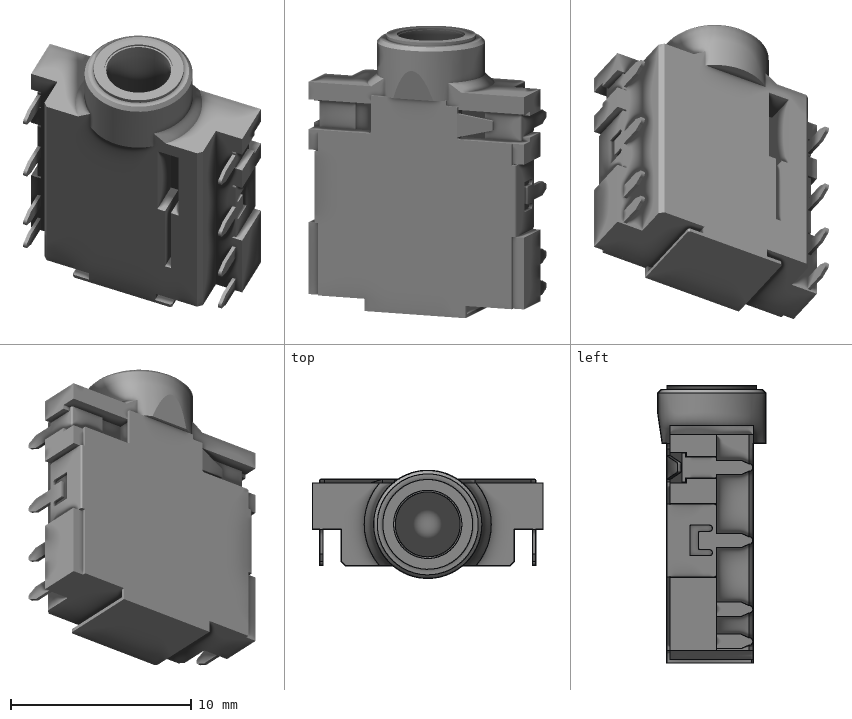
import cadquery as cq


TOTAL_HEIGHT = 15.4
TOTAL_WIDTH = 12.8
SHEET = 0.2

BLOCK_HALF_X = 4.8
BLOCK_HALF_Y = 2.31
BLOCK_BOTTOM = 0.7
BLOCK_TOP = 12.69
BLOCK_CHAMFER = 0.25
EAR_HALF_X = TOTAL_WIDTH / 2
EAR_FRONT_Y = -0.28
TONGUE_HALF_X = 2.0

SLEEVE_RADIUS = 3.0
SLEEVE_BOTTOM = 12.2
SLEEVE_CHAMFER = 0.2
RIM_RADIUS = 2.5
RIM_HEIGHT = 0.2
COLLAR_RADIUS = 3.53
COLLAR_HEIGHT = 0.5
RELIEF_TOP = 13.86
RELIEF_BOTTOM_Y = 2.75
BORE_RADIUS = 1.8
BORE_DEPTH = 13.86
MOUTH_RADIUS = 1.9
MOUTH_DEPTH = 0.11

SLOT_DEPTH = 1.85
SLOT_CENTER_X = 2.79
SLOT_WIDE = 1.26
SLOT_NARROW = 0.35
SLOT_TOP = 11.89
SLOT_STEP = 7.38
SLOT_BOTTOM = 3.08

CONTACT_OUTER_X = 6.0
CONTACT_INNER_X = CONTACT_OUTER_X - SHEET
LEG_HALF_WIDTH = 0.4
LEG_TAPER_Y = -1.63
LEG_TIP_HALF_WIDTH = 0.22
LEG_TIP_START_Y = -2.05
LEG_TIP_Y = -2.28
LEG_EMBED = 0.92
LEFT_LEGS_Z = (1.2, 2.99)
RIGHT_LEGS_Z = (1.2, 3.68)

LATCH_Z = 10.85
LATCH_HALF_WIDTH = 0.59
LATCH_HEAD_HALF_WIDTH = 0.8
LATCH_HEAD_Y = 1.46
LATCH_ARM_LENGTH = 2.15
LATCH_BEND_RADIUS = 0.1
LATCH_CORNER = 0.1
NOTCH_HALF_WIDTH = 0.62
POCKET_HALF_WIDTH = 0.85
POCKET_FLOOR_Y = 1.4
POCKET_INNER_X = 2.39

SHIELD_BACK_Y = BLOCK_HALF_Y + SHEET
SHIELD_FOOT_HALF_X = 3.0
SHIELD_FOOT_CHAMFER = 0.1
SHIELD_HALF_X = 5.75
SHIELD_SHOULDER_Z = 10.05
SHIELD_CORNER = 0.11
SHIELD_BEND_RADIUS = 0.11
NECK_LEFT_X = -2.51
NECK_RIGHT_X = 2.62
NECK_STEP_X = -1.83
NECK_STEP_Z = 11.89
WING_Z = 6.8
WING_HALF_HEIGHT = 2.02
WING_SLOT_HALF_HEIGHT = 2.06
WING_CORNER = 0.14

CUT_HALF_HEIGHT = 0.85
CUT_BACK_Y = 1.22
CUT_FRONT_Y = -0.03
CUT_TONGUE_Y = 0.72
CUT_TONGUE_HALF_HEIGHT = 0.51
CUT_CORNER = 0.06
CUT_END_CORNER = 0.15

TAB_ROOT_HALF_WIDTH = 0.66
TAB_TIP_HALF_WIDTH = 0.26
TAB_LENGTH_X = 1.88
TAB_DROP = 0.6
TAB_CORNER = 0.1


def box(x0, x1, y0, y1, z0, z1):
    """Axis-aligned box between two opposite corners."""
    return (
        cq.Workplane("XY")
        .box(x1 - x0, y1 - y0, z1 - z0, centered=False)
        .translate((x0, y0, z0))
    )


def mirrored(shape):
    """The same shape on the opposite X side."""
    return shape.mirror("YZ")


def make_block():
    block = box(-BLOCK_HALF_X, BLOCK_HALF_X, -BLOCK_HALF_Y, BLOCK_HALF_Y, BLOCK_BOTTOM, BLOCK_TOP)
    block = block.edges("|Z and <Y").chamfer(BLOCK_CHAMFER)
    ears = box(-EAR_HALF_X, EAR_HALF_X, EAR_FRONT_Y, BLOCK_HALF_Y, BLOCK_BOTTOM, BLOCK_TOP)
    tongue = box(-TONGUE_HALF_X, TONGUE_HALF_X, -BLOCK_HALF_Y, BLOCK_HALF_Y, SHEET, BLOCK_BOTTOM)
    return block.union(ears).union(tongue)


def make_sleeve():
    shoulder_z = TOTAL_HEIGHT - RIM_HEIGHT
    sleeve = (
        cq.Workplane("XY", origin=(0, 0, SLEEVE_BOTTOM))
        .circle(SLEEVE_RADIUS)
        .extrude(shoulder_z - SLEEVE_BOTTOM)
        .faces(">Z")
        .chamfer(SLEEVE_CHAMFER)
    )
    rim = cq.Workplane("XY", origin=(0, 0, shoulder_z)).circle(RIM_RADIUS).extrude(RIM_HEIGHT)
    relief = (
        cq.Workplane("YZ")
        .moveTo(SLEEVE_RADIUS, RELIEF_TOP)
        .lineTo(RELIEF_BOTTOM_Y, SLEEVE_BOTTOM)
        .lineTo(SLEEVE_RADIUS, SLEEVE_BOTTOM)
        .close()
        .extrude(SLEEVE_RADIUS, both=True)
    )
    return sleeve.union(rim).cut(relief)


def make_collar():
    """Conical collar at the sleeve foot, trimmed flush with the block."""
    cone = (
        cq.Workplane("XZ")
        .moveTo(0, BLOCK_TOP)
        .lineTo(COLLAR_RADIUS, BLOCK_TOP)
        .lineTo(SLEEVE_RADIUS, BLOCK_TOP + COLLAR_HEIGHT)
        .lineTo(0, BLOCK_TOP + COLLAR_HEIGHT)
        .close()
        .revolve(360, (0, 0, 0), (0, 1, 0))
    )
    trim = box(
        -COLLAR_RADIUS, COLLAR_RADIUS, -BLOCK_HALF_Y, BLOCK_HALF_Y,
        BLOCK_TOP, BLOCK_TOP + COLLAR_HEIGHT,
    )
    return cone.intersect(trim)


def make_bore():
    bore = (
        cq.Workplane("XY", origin=(0, 0, TOTAL_HEIGHT - BORE_DEPTH))
        .circle(BORE_RADIUS)
        .extrude(BORE_DEPTH)
    )
    mouth = (
        cq.Workplane("XY", origin=(0, 0, TOTAL_HEIGHT - MOUTH_DEPTH))
        .circle(MOUTH_RADIUS)
        .extrude(MOUTH_DEPTH)
    )
    return bore.union(mouth)


def make_keyhole_slot():
    def segment(width, z0, z1):
        return box(
            SLOT_CENTER_X - width / 2, SLOT_CENTER_X + width / 2,
            -BLOCK_HALF_Y, -BLOCK_HALF_Y + SLOT_DEPTH, z0, z1,
        )

    return segment(SLOT_WIDE, SLOT_STEP, SLOT_TOP).union(segment(SLOT_NARROW, SLOT_BOTTOM, SLOT_STEP))


def make_latch_pocket():
    """Notch in the left ear for a latch contact, widening towards the back."""
    notch = box(
        -EAR_HALF_X, -CONTACT_INNER_X, EAR_FRONT_Y, BLOCK_HALF_Y,
        LATCH_Z - NOTCH_HALF_WIDTH, LATCH_Z + NOTCH_HALF_WIDTH,
    )
    pocket = box(
        -EAR_HALF_X, -POCKET_INNER_X, POCKET_FLOOR_Y, BLOCK_HALF_Y,
        LATCH_Z - POCKET_HALF_WIDTH, LATCH_Z + POCKET_HALF_WIDTH,
    )
    return notch.union(pocket)


def make_wing_slot():
    """Recess in the left ear for a wing of the shield."""
    return box(
        -EAR_HALF_X, -CONTACT_INNER_X, EAR_FRONT_Y, BLOCK_HALF_Y,
        WING_Z - WING_SLOT_HALF_HEIGHT, WING_Z + WING_SLOT_HALF_HEIGHT,
    )


def make_housing(plain_contacts):
    housing = make_block().union(make_sleeve()).union(make_collar())
    housing = housing.cut(make_bore()).cut(make_keyhole_slot())
    for recess in (make_latch_pocket(), make_wing_slot()):
        housing = housing.cut(recess).cut(mirrored(recess))
    for contact in plain_contacts:
        housing = housing.cut(contact)
    return housing


def make_leg(center_z, root_y):
    """Flat solder leg on the left side, from root_y to its rounded tip."""
    return (
        cq.Workplane("YZ", origin=(-CONTACT_OUTER_X, 0, center_z))
        .moveTo(root_y, LEG_HALF_WIDTH)
        .lineTo(LEG_TAPER_Y, LEG_HALF_WIDTH)
        .lineTo(LEG_TIP_START_Y, LEG_TIP_HALF_WIDTH)
        .threePointArc((LEG_TIP_Y, 0), (LEG_TIP_START_Y, -LEG_TIP_HALF_WIDTH))
        .lineTo(LEG_TAPER_Y, -LEG_HALF_WIDTH)
        .lineTo(root_y, -LEG_HALF_WIDTH)
        .close()
        .extrude(SHEET)
    )


def make_plain_contacts():
    root_y = EAR_FRONT_Y + LEG_EMBED
    contacts = [make_leg(z, root_y) for z in LEFT_LEGS_Z]
    contacts += [mirrored(make_leg(z, root_y)) for z in RIGHT_LEGS_Z]
    return contacts


def make_latch_contact():
    """Left latch contact: leg, plate and a wide head bent inwards."""
    head_top_y = LATCH_HEAD_Y + SHEET
    plate = box(
        -CONTACT_OUTER_X, -CONTACT_INNER_X, EAR_FRONT_Y, LATCH_HEAD_Y,
        LATCH_Z - LATCH_HALF_WIDTH, LATCH_Z + LATCH_HALF_WIDTH,
    )
    plate = plate.edges("|X and <Y").fillet(LATCH_CORNER)
    head = box(
        -CONTACT_OUTER_X, -CONTACT_OUTER_X + LATCH_ARM_LENGTH, LATCH_HEAD_Y, head_top_y,
        LATCH_Z - LATCH_HEAD_HALF_WIDTH, LATCH_Z + LATCH_HEAD_HALF_WIDTH,
    )
    head = head.edges("|Z and <X and >Y").fillet(LATCH_BEND_RADIUS)
    return plate.union(head).union(make_leg(LATCH_Z, EAR_FRONT_Y + LATCH_CORNER))


def make_back_plate():
    wing_low = WING_Z - WING_HALF_HEIGHT
    wing_high = WING_Z + WING_HALF_HEIGHT
    left_edge = [
        (-SHIELD_FOOT_HALF_X, 0),
        (-SHIELD_FOOT_HALF_X, BLOCK_BOTTOM),
        (-SHIELD_HALF_X, BLOCK_BOTTOM),
        (-SHIELD_HALF_X, wing_low),
        (-CONTACT_OUTER_X, wing_low),
        (-CONTACT_OUTER_X, wing_high),
        (-SHIELD_HALF_X, wing_high),
        (-SHIELD_HALF_X, SHIELD_SHOULDER_Z),
    ]
    neck = [
        (NECK_LEFT_X, SHIELD_SHOULDER_Z),
        (NECK_LEFT_X, NECK_STEP_Z),
        (NECK_STEP_X, NECK_STEP_Z),
        (NECK_STEP_X, SLEEVE_BOTTOM),
        (NECK_RIGHT_X, SLEEVE_BOTTOM),
        (NECK_RIGHT_X, SHIELD_SHOULDER_Z),
    ]
    right_edge = [(-x, z) for x, z in reversed(left_edge)]
    plate = (
        cq.Workplane("XZ", origin=(0, SHIELD_BACK_Y, 0))
        .polyline(left_edge + neck + right_edge)
        .close()
        .extrude(SHEET)
    )
    rounded_corners = [
        (-SHIELD_HALF_X, SHIELD_SHOULDER_Z),
        (NECK_LEFT_X, SHIELD_SHOULDER_Z),
        (NECK_RIGHT_X, SHIELD_SHOULDER_Z),
        (NECK_STEP_X, NECK_STEP_Z),
    ]
    middle_y = SHIELD_BACK_Y - SHEET / 2
    for x, z in rounded_corners:
        corner = cq.selectors.NearestToPointSelector((x, middle_y, z))
        plate = plate.edges("|Y").edges(corner).fillet(SHIELD_CORNER)
    return plate


def make_foot():
    """Flange folded forward under the housing."""
    foot = box(-SHIELD_FOOT_HALF_X, SHIELD_FOOT_HALF_X, -BLOCK_HALF_Y, SHIELD_BACK_Y, 0, SHEET)
    return foot.edges("|Z and <Y").chamfer(SHIELD_FOOT_CHAMFER)


def make_leg_root_cut():
    """C-shaped cut through the left wing, its two arms pointing towards the leg."""
    frame = box(
        -CONTACT_OUTER_X, -CONTACT_INNER_X, CUT_FRONT_Y, CUT_BACK_Y,
        WING_Z - CUT_HALF_HEIGHT, WING_Z + CUT_HALF_HEIGHT,
    )
    tongue = box(
        -CONTACT_OUTER_X, -CONTACT_INNER_X, CUT_FRONT_Y, CUT_TONGUE_Y,
        WING_Z - CUT_TONGUE_HALF_HEIGHT, WING_Z + CUT_TONGUE_HALF_HEIGHT,
    )
    cut = frame.cut(tongue).edges("|X and <Y").fillet(CUT_END_CORNER)
    tongue_y = (CUT_TONGUE_Y + CUT_FRONT_Y) / 2
    closed_side = cq.selectors.BoxSelector(
        (-EAR_HALF_X, tongue_y, WING_Z - WING_HALF_HEIGHT),
        (0, BLOCK_HALF_Y, WING_Z + WING_HALF_HEIGHT),
    )
    return cut.edges("|X").edges(closed_side).fillet(CUT_CORNER)


def make_wing():
    """Left side wing with its solder leg."""
    wing = box(
        -CONTACT_OUTER_X, -CONTACT_INNER_X, EAR_FRONT_Y, SHIELD_BACK_Y,
        WING_Z - WING_HALF_HEIGHT, WING_Z + WING_HALF_HEIGHT,
    )
    wing = wing.edges("|X and <Y").fillet(WING_CORNER)
    return wing.cut(make_leg_root_cut()).union(make_leg(WING_Z, EAR_FRONT_Y + SHEET))


def make_locking_tab():
    """Tapered tab sloping from the neck of the back plate into the pocket."""
    tip_x = NECK_LEFT_X - TAB_LENGTH_X
    sheet = (
        cq.Workplane("XY", origin=(0, 0, LATCH_Z - TAB_ROOT_HALF_WIDTH))
        .moveTo(NECK_LEFT_X, SHIELD_BACK_Y)
        .lineTo(tip_x, SHIELD_BACK_Y - TAB_DROP)
        .lineTo(tip_x, SHIELD_BACK_Y - TAB_DROP - SHEET)
        .lineTo(NECK_LEFT_X, BLOCK_HALF_Y)
        .close()
        .extrude(2 * TAB_ROOT_HALF_WIDTH)
    )
    taper = (
        cq.Workplane("XZ", origin=(0, SHIELD_BACK_Y, LATCH_Z))
        .moveTo(NECK_LEFT_X, TAB_ROOT_HALF_WIDTH)
        .lineTo(tip_x, TAB_TIP_HALF_WIDTH)
        .lineTo(tip_x, -TAB_TIP_HALF_WIDTH)
        .lineTo(NECK_LEFT_X, -TAB_ROOT_HALF_WIDTH)
        .close()
        .extrude(SHIELD_BACK_Y)
        .edges("|Y and <X")
        .fillet(TAB_CORNER)
    )
    return sheet.intersect(taper)


def make_shield():
    wing = make_wing()
    shield = make_back_plate().union(make_foot()).union(wing).union(mirrored(wing))
    bend_edges = cq.selectors.BoxSelector(
        (-EAR_HALF_X, BLOCK_HALF_Y + SHEET / 2, WING_Z - SHEET),
        (EAR_HALF_X, SHIELD_BACK_Y + SHEET, WING_Z + SHEET),
    )
    shield = shield.edges("|Z").edges(bend_edges).fillet(SHIELD_BEND_RADIUS)
    return shield.union(make_locking_tab())


plain_contacts = make_plain_contacts()
left_latch = make_latch_contact()
latch_contacts = [left_latch, mirrored(left_latch)]
housing = make_housing(plain_contacts)
shield = make_shield()

bodies = [housing, shield] + latch_contacts + plain_contacts

result = cq.Compound.makeCompound([body.solids().val() for body in bodies])